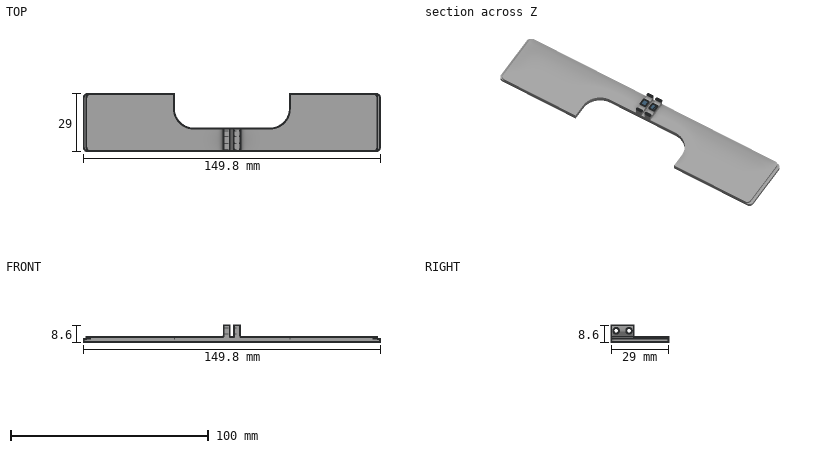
import cadquery as cq

plate_length = 149.84
plate_width = 29.0
total_height = 8.6
flange_thickness = 1.6
plate_thickness = 2.6
end_step = 1.4
corner_radius = 2.0

cutout_length = 58.5
cutout_radius = 10.0
bridge_width = 11.5

lug_thickness = 3.2
lug_gap = 2.0
foot_radius = 2.0

hole_diameter = 2.8
hole_height = 5.7
hole_spacing = 6.5


def rounded_slab(length, bottom, top):
    """Flat slab over the full plate width with rounded vertical corners."""
    slab = cq.Workplane("XY").box(length, plate_width, top - bottom, centered=(True, False, False))
    return slab.edges("|Z").fillet(corner_radius).translate((0, 0, bottom))


def make_plate():
    """Lower flange with a shorter layer on top, leaving a step at each end."""
    flange = rounded_slab(plate_length, 0, flange_thickness)
    upper_layer = rounded_slab(plate_length - 2 * end_step, flange_thickness, plate_thickness)
    return flange.union(upper_layer)


def make_cutout():
    """Opening in the back edge with rounded inner corners."""
    depth = plate_width - bridge_width
    block = cq.Workplane("XY").box(cutout_length, depth, plate_thickness, centered=(True, False, False))
    return block.edges("|Z and <Y").fillet(cutout_radius).translate((0, bridge_width, 0))


def make_lug(side):
    """One lug spanning the bridge; side is -1 for the left one and 1 for the right one."""
    lug_center_x = side * (lug_gap + lug_thickness) / 2
    lug = cq.Workplane("XY").box(lug_thickness, bridge_width, total_height, centered=(True, False, False))
    return lug.translate((lug_center_x, 0, 0))


def make_foot_fillet(side):
    """Concave fillet from the flange level up to the outer face of one lug; the upper layer buries its toe."""
    outer_face_x = side * (lug_gap / 2 + lug_thickness)
    return (
        cq.Workplane("XZ", origin=(outer_face_x, 0, flange_thickness))
        .lineTo(side * foot_radius, 0)
        .radiusArc((0, foot_radius), side * foot_radius)
        .close()
        .extrude(-bridge_width)
    )


def make_lug_holes():
    """Two cross holes along X that pass through both lugs."""
    drill_length = 2 * lug_thickness + lug_gap
    hole_centers = [(bridge_width / 2 + side * hole_spacing / 2, hole_height) for side in (-1, 1)]
    return (
        cq.Workplane("YZ")
        .pushPoints(hole_centers)
        .circle(hole_diameter / 2)
        .extrude(drill_length / 2, both=True)
    )


result = make_plate().cut(make_cutout())
for side in (-1, 1):
    result = result.union(make_lug(side)).union(make_foot_fillet(side))
result = result.cut(make_lug_holes())